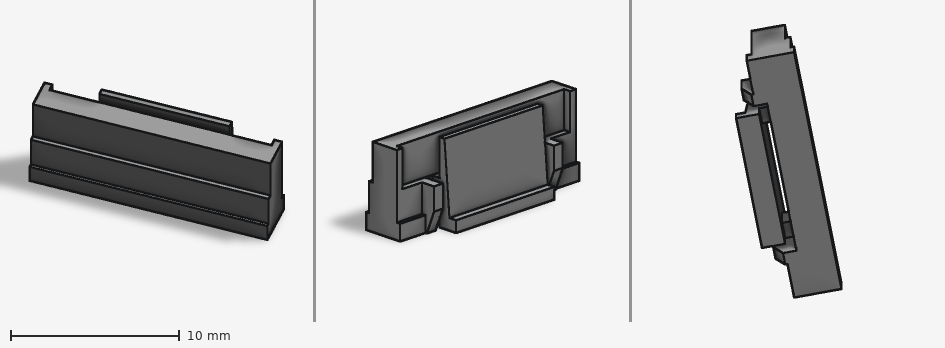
import cadquery as cq

length = 15.0
depth = 4.15
height = 5.7

base_height = 1.12
shoulder_height = 3.12
shoulder_front = 0.22
upper_front = 0.55

upper_back = 2.08
window_back = 2.18
body_back = 2.58
base_back = 2.86
end_tab_width = 0.5

post_start = 2.12
post_end = 2.85
post_back = 3.58
post_foot_back = 2.98
post_bevel_height = 1.53

latch_start = 3.39
latch_inner = 2.76
latch_top_back = 3.18
latch_pad_back = 3.6
latch_pad_height = 0.81
arm_width = 0.96


def box(x_range, y_range, z_range):
    """Box spanning the given (low, high) ranges."""
    sizes = [high - low for low, high in (x_range, y_range, z_range)]
    corner = (x_range[0], y_range[0], z_range[0])
    return cq.Workplane("XY").box(*sizes, centered=False).translate(corner)


def extrude_profile(points, x_start, x_end):
    """Closed Y-Z outline extruded from x_start to x_end."""
    plane = cq.Workplane("YZ", origin=(x_start, 0, 0))
    return plane.polyline(points).close().extrude(x_end - x_start)


def housing():
    """Stepped block with a rear recess between end tabs and a gap behind the latch."""
    body = extrude_profile(
        [
            (0, 0),
            (base_back, 0),
            (base_back, base_height),
            (body_back, base_height),
            (body_back, height),
            (upper_front, height),
            (upper_front, shoulder_height),
            (shoulder_front, shoulder_height),
            (shoulder_front, base_height),
            (0, base_height),
        ],
        0,
        length,
    )
    recess = box(
        (end_tab_width, length - end_tab_width),
        (upper_back, base_back),
        (shoulder_height, height),
    )
    latch_gap = box((post_end, length - post_end), (window_back, base_back), (0, height))
    return body.cut(recess).cut(latch_gap)


def guard_post(x_start):
    """Post with a bevelled lower back edge."""
    outline = [
        (window_back, 0),
        (post_foot_back, 0),
        (post_back, post_bevel_height),
        (post_back, shoulder_height),
        (window_back, shoulder_height),
    ]
    return extrude_profile(outline, x_start, x_start + post_end - post_start)


def latch():
    """Tapered lever with a press pad along its lower edge."""
    outline = [
        (latch_inner, 0),
        (depth, 0),
        (depth, latch_pad_height),
        (latch_pad_back, latch_pad_height),
        (latch_top_back, height),
        (latch_inner, height),
    ]
    return extrude_profile(outline, latch_start, length - latch_start)


def latch_arm(x_start):
    """Arm that joins the lever to the housing."""
    return box(
        (x_start, x_start + arm_width),
        (window_back, latch_inner),
        (base_height, shoulder_height),
    )


result = housing().union(latch())
for post_x in (post_start, length - post_end):
    result = result.union(guard_post(post_x))
for arm_x in (latch_start, length - latch_start - arm_width):
    result = result.union(latch_arm(arm_x))